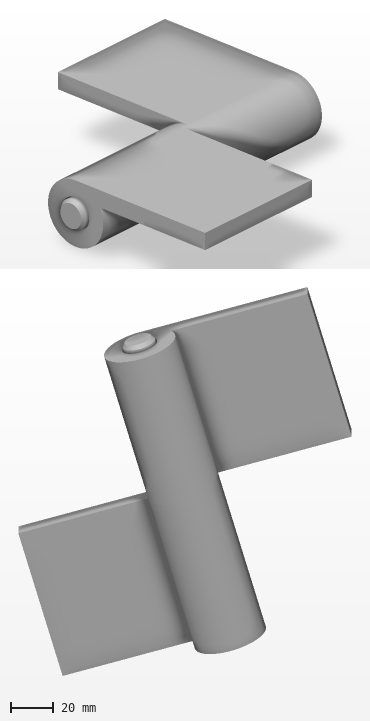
import cadquery as cq


LEAF_REACH = 82.0
LEAF_LENGTH = 75.0
LEAF_THICKNESS = 9.0
BARREL_DIAMETER = 35.0
BORE_DIAMETER = 17.0
PIN_DIAMETER = 16.0
PIN_LENGTH = 160.0
PIN_CHAMFER_LENGTH = 2.0
PIN_CHAMFER_DEPTH = 1.5
COLLAR_WIDTH = 3.5

BARREL_RADIUS = BARREL_DIAMETER / 2


def y_cylinder(diameter, length):
    """Cylinder on the Y axis, centred on the origin."""
    return cq.Workplane("XZ", origin=(0, length / 2, 0)).circle(diameter / 2).extrude(length)


def make_leaf():
    """Leaf on the -Y side: a plate toward +X, flush with the top of its barrel."""
    barrel = y_cylinder(BARREL_DIAMETER, LEAF_LENGTH)
    plate = cq.Workplane("XY").box(
        LEAF_REACH, LEAF_LENGTH, LEAF_THICKNESS, centered=(False, True, False)
    ).translate((0, 0, BARREL_RADIUS - LEAF_THICKNESS))
    bore = y_cylinder(BORE_DIAMETER, LEAF_LENGTH)
    leaf_center_y = -(COLLAR_WIDTH + LEAF_LENGTH) / 2
    return barrel.union(plate).cut(bore).translate((0, leaf_center_y, 0))


def make_pin():
    """Pin with chamfered ends and a middle collar that spaces the two barrels."""
    shaft = y_cylinder(PIN_DIAMETER, PIN_LENGTH)
    shaft = shaft.edges("%CIRCLE").chamfer(PIN_CHAMFER_LENGTH, PIN_CHAMFER_DEPTH)
    collar = y_cylinder(BARREL_DIAMETER, COLLAR_WIDTH)
    return shaft.union(collar)


leaves = [
    make_leaf().rotate((0, 0, 0), (0, 0, 1), angle).val()
    for angle in (0, 180)
]
pin = make_pin()

result = cq.Compound.makeCompound([*leaves, pin.val()])